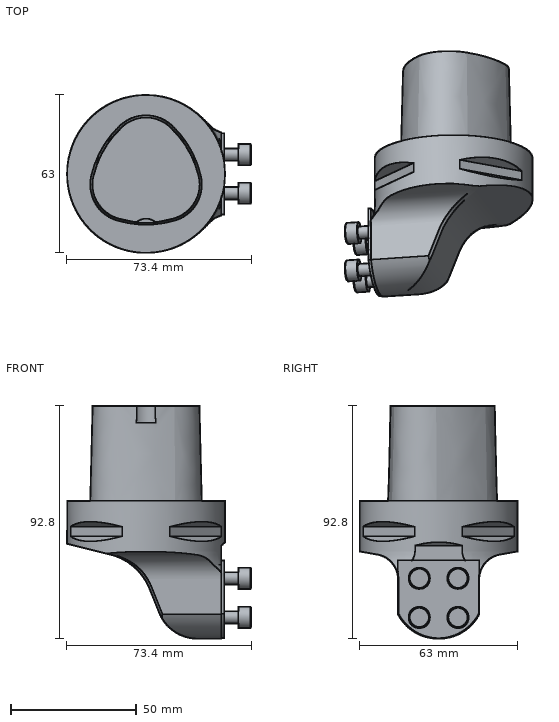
import cadquery as cq
import math

FLANGE_DIAMETER = 63.0
FLANGE_RADIUS = FLANGE_DIAMETER / 2
SHANK_HEIGHT = 37.9
BOTTOM_Z = SHANK_HEIGHT - 92.8

LOBE_OFFSET = 8.35
LOBE_RADIUS = 15.0
FLANK_RADIUS = 39.9
SHANK_TAPER = 0.9
NOTCH_RADIUS = 5.6
NOTCH_CENTER_Y = -23.4
NOTCH_DEPTH = 6.6

GROOVE_FLOOR_RADIUS = 27.9
GROOVE_FLOOR_HEIGHT = 3.7
GROOVE_Z = -12.2
GROOVE_WALL_ANGLE = 30

FLAT_X = 30.1
FLAT_TOP_Z = -17.1
FLAT_CHAMFER = 1.4
REAR_RIM_Z = -17.1
REAR_SLOPE = 14
BLOCK_LEAN = 22
LEAN_END_X = 5.0
LEAN_END_Z = -44.0
REAR_NECK_RADIUS = 22.3
NOSE_RADIUS = 16.7
REAR_CHAMFER = 1.0
EDGE_PROBE_RISE = 4.6
BLOCK_HALF_WIDTH = 16.2
BLOCK_ROUND_RADIUS = 18.3
SIDE_RIM_Z = -20.1
SIDE_SLOPE = 10
SIDE_NECK_RADIUS = 9.7
FLARE_RADIUS = 32.3
FLARE_Z = -25.4
SKIRT_RADIUS = 34.7
SKIRT_Z = -29.2

PLATE_TOP_Z = -23.7
PLATE_THICKNESS = 1.1
PLATE_INSET = 0.3
SCREW_Y = 7.7
SCREW_Z = (-30.8, -46.4)
SCREW_DIAMETER = 5.0
HEAD_DIAMETER = 8.5
HEAD_LENGTH = 5.1
HEAD_CHAMFER = 0.5
SCREW_END_X = 41.9


def polar(radius, degrees):
    angle = math.radians(degrees)
    return radius * math.cos(angle), radius * math.sin(angle)


def lobed_outline(plane, inset):
    """Three lobes joined by three tangent flanks, moved inward by inset."""
    lobe = LOBE_RADIUS - inset
    flank = FLANK_RADIUS - inset
    center_gap = FLANK_RADIUS - LOBE_RADIUS
    half_flank = math.degrees(math.asin(LOBE_OFFSET * math.sin(math.radians(60)) / center_gap))
    flank_offset = center_gap * math.cos(math.radians(half_flank)) - LOBE_OFFSET / 2

    def joint(lobe_angle, side):
        cx, cy = polar(LOBE_OFFSET, lobe_angle)
        dx, dy = polar(lobe, lobe_angle + side * (60 - half_flank))
        return cx + dx, cy + dy

    outline = plane.moveTo(*joint(90, -1))
    for angle in (90, 210, 330):
        outline = outline.threePointArc(polar(LOBE_OFFSET + lobe, angle), joint(angle, 1))
        outline = outline.threePointArc(polar(flank - flank_offset, angle + 60), joint(angle + 120, -1))
    return outline.close()


def make_shank():
    base = lobed_outline(cq.Workplane("XY"), 0)
    shank = lobed_outline(base.workplane(offset=SHANK_HEIGHT), SHANK_TAPER).loft(ruled=True)
    notch = (
        cq.Workplane("XY", origin=(0, NOTCH_CENTER_Y, SHANK_HEIGHT - NOTCH_DEPTH))
        .circle(NOTCH_RADIUS)
        .extrude(NOTCH_DEPTH)
    )
    return shank.cut(notch)


def make_front_profile():
    """Flange and block outline in XZ: sloped underside, leaning back, rounded nose."""
    slope = math.tan(math.radians(REAR_SLOPE))
    lean = math.tan(math.radians(BLOCK_LEAN))
    neck_x = LEAN_END_X + lean * (LEAN_END_Z - REAR_RIM_Z + slope * FLANGE_RADIUS)
    neck_x /= 1 - lean * slope
    neck_z = REAR_RIM_Z - slope * (neck_x + FLANGE_RADIUS)
    nose_x = LEAN_END_X + (LEAN_END_Z - BOTTOM_Z) * lean
    profile = (
        cq.Workplane("XZ")
        .moveTo(-FLANGE_RADIUS, 0)
        .lineTo(-FLANGE_RADIUS, REAR_RIM_Z)
        .lineTo(neck_x, neck_z)
        .lineTo(nose_x, BOTTOM_Z)
        .lineTo(FLAT_X, BOTTOM_Z)
        .lineTo(FLAT_X, FLAT_TOP_Z - FLAT_CHAMFER / 2)
        .lineTo(FLANGE_RADIUS, FLAT_TOP_Z + FLAT_CHAMFER / 2)
        .lineTo(FLANGE_RADIUS, 0)
        .close()
        .extrude(FLANGE_RADIUS, both=True)
    )
    profile = profile.edges(cq.NearestToPointSelector((neck_x, 0, neck_z))).fillet(REAR_NECK_RADIUS)
    return profile.edges(cq.NearestToPointSelector((nose_x, 0, BOTTOM_Z))).fillet(NOSE_RADIUS)


def make_side_profile(inset):
    """Flange and block outline in YZ: flared neck, straight sides, round bottom.

    The block part is moved inward by inset.
    """
    half_width = BLOCK_HALF_WIDTH - inset
    round_radius = BLOCK_ROUND_RADIUS - inset
    bottom = BOTTOM_Z + inset
    side_drop = (FLANGE_RADIUS - half_width) * math.tan(math.radians(SIDE_SLOPE))
    neck_z = SIDE_RIM_Z - side_drop
    sag = round_radius - math.sqrt(round_radius**2 - half_width**2)
    profile = (
        cq.Workplane("YZ")
        .moveTo(-FLANGE_RADIUS, 0)
        .lineTo(-FLANGE_RADIUS, SIDE_RIM_Z)
        .lineTo(-half_width, neck_z)
        .lineTo(-half_width, bottom + sag)
        .threePointArc((0, bottom), (half_width, bottom + sag))
        .lineTo(half_width, neck_z)
        .lineTo(FLANGE_RADIUS, SIDE_RIM_Z)
        .lineTo(FLANGE_RADIUS, 0)
        .close()
        .extrude(FLANGE_RADIUS, both=True)
    )
    for side in (-1, 1):
        neck = cq.NearestToPointSelector((0, side * half_width, neck_z))
        profile = profile.edges(neck).fillet(SIDE_NECK_RADIUS)
    return profile


def make_round_envelope():
    """Flange cylinder that flares outward under its rim to carry the block corners."""
    return (
        cq.Workplane("XZ")
        .lineTo(FLANGE_RADIUS, 0)
        .lineTo(FLANGE_RADIUS, SIDE_RIM_Z)
        .tangentArcPoint((FLARE_RADIUS, FLARE_Z), relative=False)
        .lineTo(SKIRT_RADIUS, SKIRT_Z)
        .lineTo(SKIRT_RADIUS, BOTTOM_Z)
        .lineTo(0, BOTTOM_Z)
        .close()
        .revolve(360, (0, 0, 0), (0, 1, 0))
    )


def make_groove(angle):
    """Straight groove with a flat floor and flared walls."""
    depth = FLANGE_RADIUS - GROOVE_FLOOR_RADIUS
    half_floor = GROOVE_FLOOR_HEIGHT / 2
    half_mouth = half_floor + depth * math.tan(math.radians(GROOVE_WALL_ANGLE))
    return (
        cq.Workplane("XZ", origin=(0, 0, GROOVE_Z))
        .polyline([
            (GROOVE_FLOOR_RADIUS, -half_floor),
            (FLANGE_RADIUS, -half_mouth),
            (FLANGE_RADIUS, half_mouth),
            (GROOVE_FLOOR_RADIUS, half_floor),
        ])
        .close()
        .extrude(FLANGE_RADIUS, both=True)
        .rotate((0, 0, 0), (0, 0, 1), angle)
    )


def make_body():
    body = make_front_profile().intersect(make_side_profile(0)).intersect(make_round_envelope())
    probe_x = LEAN_END_X - EDGE_PROBE_RISE * math.tan(math.radians(BLOCK_LEAN))
    probe_z = LEAN_END_Z + EDGE_PROBE_RISE
    for side in (-1, 1):
        rear_corner = cq.NearestToPointSelector((probe_x, side * BLOCK_HALF_WIDTH, probe_z))
        body = body.edges(rear_corner).chamfer(REAR_CHAMFER)
    for angle in (45, 135, 225, 315):
        body = body.cut(make_groove(angle))
    return body


def make_plate():
    height = PLATE_TOP_Z - BOTTOM_Z
    plate = cq.Workplane("XY").box(
        PLATE_THICKNESS, 2 * BLOCK_HALF_WIDTH, height, centered=(False, True, False)
    )
    return plate.translate((FLAT_X, 0, BOTTOM_Z)).intersect(make_side_profile(PLATE_INSET))


def make_screw(y, z):
    shank = (
        cq.Workplane("YZ", origin=(FLAT_X, y, z))
        .circle(SCREW_DIAMETER / 2)
        .extrude(SCREW_END_X - FLAT_X)
    )
    head = (
        cq.Workplane("YZ", origin=(SCREW_END_X - HEAD_LENGTH, y, z))
        .circle(HEAD_DIAMETER / 2)
        .extrude(HEAD_LENGTH)
        .faces(">X")
        .chamfer(HEAD_CHAMFER)
    )
    return shank.union(head)


result = make_body().union(make_shank()).union(make_plate())
for screw_y in (-SCREW_Y, SCREW_Y):
    for screw_z in SCREW_Z:
        result = result.union(make_screw(screw_y, screw_z))